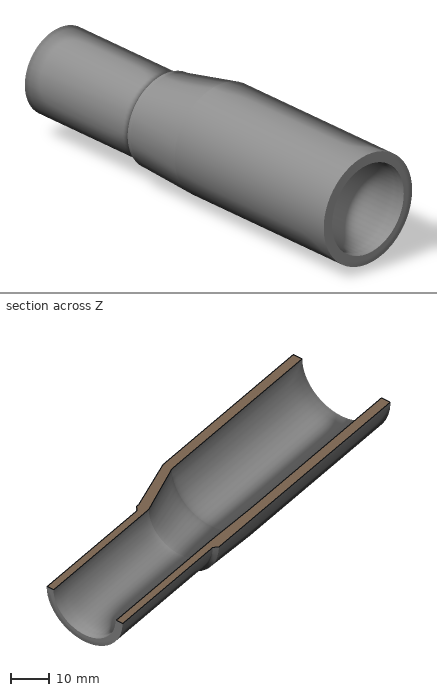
import cadquery as cq

total_length = 114.0
large_diameter = 32.0
large_bore = 26.0
small_diameter = 25.0
small_bore = 20.4
collar_diameter = 27.2

collar_start = 38.9
collar_chamfer = (collar_diameter - small_diameter) / 2
collar_length = 2.2
taper_start = collar_start + collar_length
taper_end = 57.8

small_axis_y = -(large_diameter - collar_diameter) / 2
large_axis_y = 0.0


def cylinder(diameter, x_start, x_end, axis_y):
    """Solid cylinder along X between two stations."""
    return (
        cq.Workplane("YZ", origin=(x_start, axis_y, 0))
        .circle(diameter / 2)
        .extrude(x_end - x_start)
    )


def eccentric_taper(small_end_diameter, large_end_diameter):
    """Ruled transition from the small pipe's axis to the large pipe's axis."""
    return (
        cq.Workplane("YZ", origin=(taper_start, small_axis_y, 0))
        .circle(small_end_diameter / 2)
        .workplane(offset=taper_end - taper_start)
        .center(large_axis_y - small_axis_y, 0)
        .circle(large_end_diameter / 2)
        .loft(ruled=True)
    )


small_pipe = cylinder(small_diameter, 0, taper_start, small_axis_y)
collar = (
    cylinder(collar_diameter, collar_start, taper_start, small_axis_y)
    .faces("<X")
    .chamfer(collar_chamfer)
)
outer_taper = eccentric_taper(collar_diameter, large_diameter)
large_pipe = cylinder(large_diameter, taper_end, total_length, large_axis_y)
body = small_pipe.union(collar).union(outer_taper).union(large_pipe)

small_passage = cylinder(small_bore, 0, taper_start, small_axis_y)
inner_taper = eccentric_taper(small_bore, large_bore)
large_passage = cylinder(large_bore, taper_end, total_length, large_axis_y)
passage = small_passage.union(inner_taper).union(large_passage)

result = body.cut(passage)